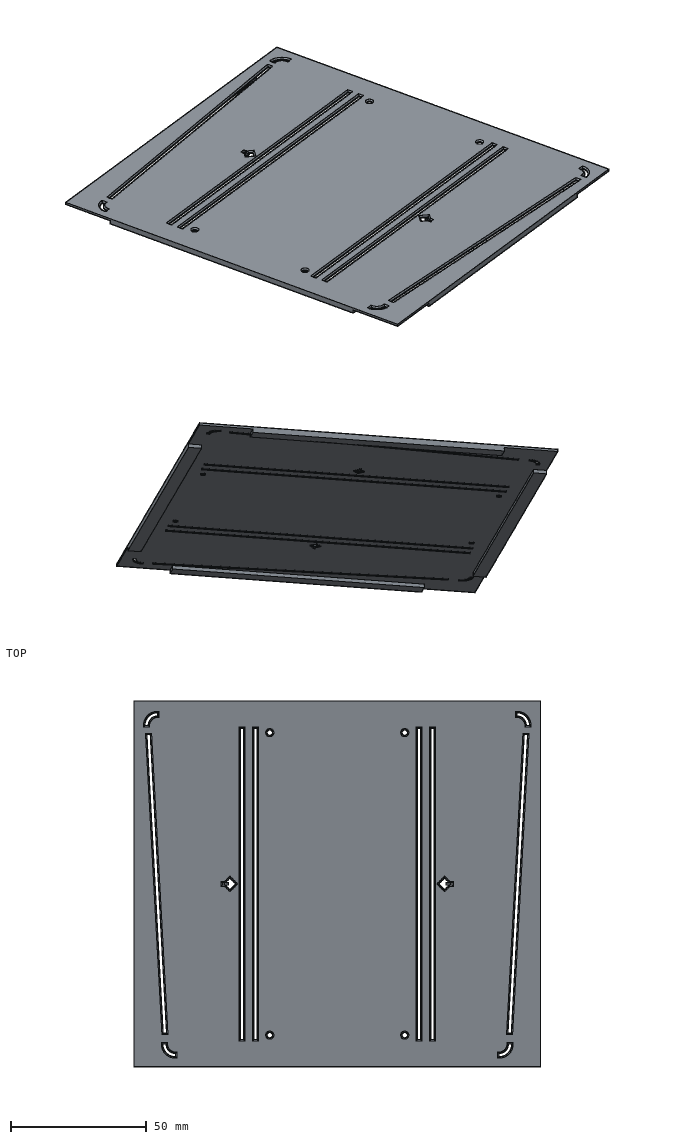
import cadquery as cq
import math

plate_length = 150.0
plate_width = 135.0
total_height = 2.2
plate_thickness = 0.9
rail_width = 5.0
rail_corner_gap = 20.1

rim_bevel = 0.52

slot_width = 1.2
slot_length = 114.8
straight_slot_places = (30.2, 35.1)

hole_diameter = 2.0
countersink_diameter = hole_diameter + 2 * rim_bevel
countersink_angle = 90.0
hole_x = 24.9
hole_y = 55.8

slanted_slot_length = 110.1
slanted_back_x = 69.6
slanted_front_x = 63.6

ring_outer_radius = 4.6
ring_inner_radius = ring_outer_radius - slot_width
back_ring_center = (66.3, 58.5)
front_ring_center = (59.7, -59.1)

diamond_center_x = 39.6
diamond_half_diagonal = 2.1
tail_end_x = 42.3
tail_width = 0.8
tongue_root_x = 41.7
tongue_tip_x = 40.0
tongue_width = 0.9


def beveled_cutter(outline):
    """Turn closed outlines into through cutters that flare out to the plate's top."""
    to_bevel = cq.Location(cq.Vector(0, 0, total_height - rim_bevel))
    to_top = cq.Location(cq.Vector(0, 0, total_height))
    cutter = cq.Workplane("XY")
    for wire in outline.ctx.popPendingWires():
        rim = wire.offset2D(rim_bevel, "intersection")[0]
        through = cq.Solid.extrudeLinear(wire, [], cq.Vector(0, 0, total_height))
        flare = cq.Solid.makeLoft([wire.moved(to_bevel), rim.moved(to_top)], True)
        cutter = cutter.add(through).add(flare)
    return cutter.combine()


def make_plate():
    """Flat plate whose top lies at the total height."""
    plate = cq.Workplane("XY", origin=(0, 0, total_height - plate_thickness))
    return plate.rect(plate_length, plate_width).extrude(plate_thickness)


def make_rails(length, width, centers):
    """A pair of rails reaching down to Z = 0."""
    return cq.Workplane("XY").pushPoints(centers).rect(length, width).extrude(total_height)


def straight_slots():
    """The pair of long slots on the +X side."""
    centers = [(x, 0) for x in straight_slot_places]
    return beveled_cutter(cq.Workplane("XY").pushPoints(centers).rect(slot_width, slot_length))


def slanted_slot():
    """Slot on the +X side with ends parallel to X."""
    half_width = slot_width / 2
    half_length = slanted_slot_length / 2
    corners = [
        (slanted_back_x - half_width, half_length),
        (slanted_back_x + half_width, half_length),
        (slanted_front_x + half_width, -half_length),
        (slanted_front_x - half_width, -half_length),
    ]
    return beveled_cutter(cq.Workplane("XY").polyline(corners).close())


def ring_slot(center, y_side):
    """Quarter ring on the +X side, bulging towards +Y (y_side 1) or -Y (y_side -1)."""
    inner = ring_inner_radius
    outer = ring_outer_radius
    inner_middle = inner * math.sqrt(0.5)
    outer_middle = outer * math.sqrt(0.5)
    outline = (
        cq.Workplane("XY", origin=(*center, 0))
        .moveTo(inner, 0)
        .lineTo(outer, 0)
        .threePointArc((outer_middle, y_side * outer_middle), (0, y_side * outer))
        .lineTo(0, y_side * inner)
        .threePointArc((inner_middle, y_side * inner_middle), (inner, 0))
        .close()
    )
    return beveled_cutter(outline)


def box_along_x(start_x, end_x, width):
    """Rectangle outline centered on the X axis between two X places."""
    return cq.Workplane("XY").center((start_x + end_x) / 2, 0).rect(end_x - start_x, width)


def arrow_cutout():
    """Diamond pointing at the middle and its tail, less the tongue between them."""
    corners = [
        (diamond_center_x - diamond_half_diagonal, 0),
        (diamond_center_x, diamond_half_diagonal),
        (diamond_center_x + diamond_half_diagonal, 0),
        (diamond_center_x, -diamond_half_diagonal),
    ]
    diamond = beveled_cutter(cq.Workplane("XY").polyline(corners).close())
    tail = beveled_cutter(box_along_x(diamond_center_x, tail_end_x, tail_width))
    tongue = box_along_x(tongue_tip_x, tongue_root_x, tongue_width).extrude(total_height)
    return diamond.union(tail).cut(tongue)


def drill_screw_holes(body):
    """Four countersunk holes in a rectangle about the center."""
    return (
        body.faces(">Z")
        .workplane(origin=(0, 0, total_height))
        .rect(2 * hole_x, 2 * hole_y, forConstruction=True)
        .vertices()
        .cskHole(hole_diameter, countersink_diameter, countersink_angle)
    )


rail_offset_x = (plate_length - rail_width) / 2
rail_offset_y = (plate_width - rail_width) / 2
rails_along_x = make_rails(
    plate_length - 2 * rail_corner_gap, rail_width, [(0, -rail_offset_y), (0, rail_offset_y)]
)
rails_along_y = make_rails(
    rail_width, plate_width - 2 * rail_corner_gap, [(-rail_offset_x, 0), (rail_offset_x, 0)]
)

result = make_plate().union(rails_along_x).union(rails_along_y)
result = drill_screw_holes(result)
for opening in (
    straight_slots(),
    slanted_slot(),
    ring_slot(back_ring_center, 1),
    ring_slot(front_ring_center, -1),
    arrow_cutout(),
):
    result = result.cut(opening).cut(opening.mirror("YZ"))